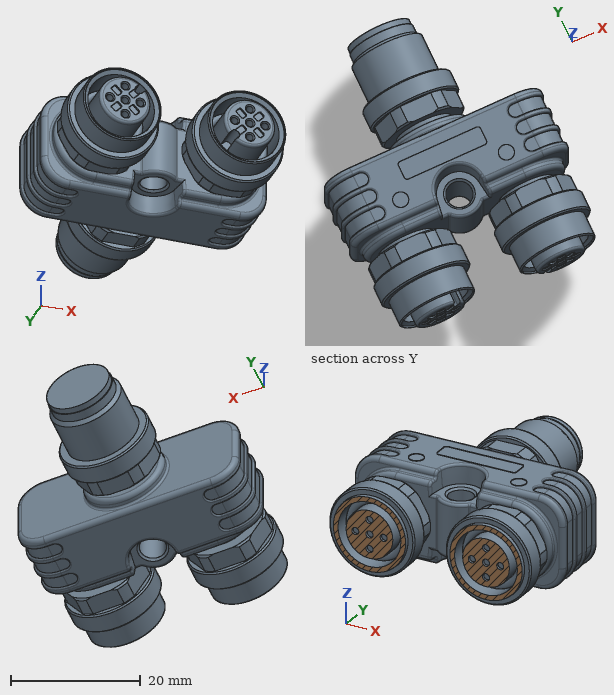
import cadquery as cq
import math


body_width = 37.0
body_height = 16.1
body_corner_radius = 4.5
body_back_y = 10.3
body_front_y = -0.8
body_edge_fillet = 0.85
body_top_z = body_height / 2
body_mid_y = (body_back_y + body_front_y) / 2

collar_diameter = 13.65
collar_height = 1.7
collar_edge_fillet = 0.8
collar_root_fillet = 0.35
collar_front_y = body_front_y - collar_height
collar_back_y = body_back_y + collar_height

groove_count = 3
groove_pitch = 3.0
groove_width = 2.15
groove_depth = 0.38
groove_middle_y = 4.7
groove_end_x = 12.0
groove_edge_fillet = 0.2

label_length = 14.0
label_width = 3.1
label_corner_radius = 0.5
label_y = 6.2
number_disc_diameter = 2.5
number_disc_x = 9.0
number_disc_y = 2.15
marking_depth = 0.1

hole_diameter = 4.2
hole_edge_chamfer = 0.35
boss_radius = 3.8
boss_height = 9.5
boss_root_fillet = 0.3
pocket_radius = 3.55
pocket_flare_angle = 8.0
pocket_draft_angle = 5.0
pocket_rim_fillet = 0.45

socket_x = 10.25
neck_diameter = 9.3
neck_length = 1.05
hex_sides = 6
hex_across_flats = 13.0
hex_corner_diameter = 14.0
hex_length = 3.05
hex_chamfer = 0.3
ring_diameter = 15.0
ring_length = 3.4
ring_chamfer = 0.25

sleeve_diameter = 12.0
sleeve_length = 6.95
sleeve_cone_length = 0.55
spigot_diameter = 10.8
spigot_length = 1.5
tip_diameter = 10.5
plug_end_y = 29.5

nut_diameter = 12.8
nut_length = 4.05
nut_edge_chamfer = 0.2
nut_mouth_diameter = 12.3
nut_mouth_depth = 0.3
nut_lead_in_length = 0.4
nut_bore_diameter = 10.95
nut_bore_depth = 6.0
insert_diameter = 8.3
insert_edge_fillet = 0.45
socket_end_y = -15.3

contact_count = 4
contact_circle_radius = 2.5
contact_diameter = 1.15
contact_mouth_diameter = 1.55
contact_depth = 5.0
relief_inner_radius = 1.25
relief_outer_radius = 2.85
relief_width = 1.1
relief_corner_radius = 0.25
relief_depth = 0.3
key_width = 1.4
key_inner_radius = 2.6
key_depth = 4.0
left_key_angle = 45
right_key_angle = left_key_angle + 180

tolerance = 0.01

plug_hex_y = collar_back_y + neck_length
plug_ring_y = plug_hex_y + hex_length
plug_sleeve_y = plug_ring_y + ring_length
plug_cone_y = plug_sleeve_y + sleeve_length
plug_spigot_y = plug_cone_y + sleeve_cone_length
plug_tip_y = plug_spigot_y + spigot_length
socket_hex_y = collar_front_y - neck_length
socket_ring_y = socket_hex_y - hex_length
socket_nut_y = socket_ring_y - ring_length
nut_end_y = socket_nut_y - nut_length
nut_floor_y = nut_end_y + nut_bore_depth


def xz_plane(x, y):
    """Workplane across the connector axis; positive extrusion runs toward -Y."""
    return cq.Workplane("XZ", origin=(x, y, 0))


def cylinder_y(diameter, y_from, y_to, x=0.0):
    """Cylinder along Y between two stations, y_from above y_to."""
    return xz_plane(x, y_from).circle(diameter / 2).extrude(y_from - y_to)


def rounded_block(inset):
    """Body block with its section shrunk by inset, before the end fillets."""
    return (
        xz_plane(0, body_back_y)
        .rect(body_width - 2 * inset, body_height - 2 * inset)
        .extrude(body_back_y - body_front_y)
        .edges("|Y")
        .fillet(body_corner_radius - inset)
    )


def make_groove_tool():
    """Round-ended slots wrapped around both ends of the body, down to the groove floor."""
    slot_length = body_width
    first_y = groove_middle_y - groove_pitch * (groove_count - 1) / 2
    centres = [
        (side * (groove_end_x + slot_length / 2), first_y + i * groove_pitch)
        for side in (-1, 1)
        for i in range(groove_count)
    ]
    slots = (
        cq.Workplane("XY")
        .pushPoints(centres)
        .slot2D(slot_length, groove_width)
        .extrude(body_height, both=True)
    )
    return slots.cut(rounded_block(groove_depth))


def is_groove_rim(edge):
    """True for edges between the grooves and the outer skin of the body."""
    grooved_half_width = groove_pitch * (groove_count - 1) / 2 + groove_width / 2
    start, middle, end = (edge.positionAt(t) for t in (0, 0.5, 1))
    in_grooved_band = abs(middle.y - groove_middle_y) < grooved_half_width + groove_edge_fillet / 2
    along_y = abs(abs(end.y - start.y) - edge.Length()) < groove_edge_fillet / 2
    on_skin = not rounded_block(groove_depth / 2).val().isInside(middle)
    return in_grooved_band and on_skin and not along_y


def make_collars():
    """Front collar around both sockets and back collar around the plug."""
    front_collar = (
        xz_plane(0, body_mid_y)
        .slot2D(2 * socket_x + collar_diameter, collar_diameter)
        .extrude(body_mid_y - collar_front_y)
    )
    back_collar = cylinder_y(collar_diameter, collar_back_y, body_mid_y)
    return front_collar.union(back_collar).faces("<Y or >Y").edges().fillet(collar_edge_fillet)


def is_collar_root(edge):
    """True for edges where a collar rises from an end face of the body."""
    middle = edge.positionAt(0.5)
    on_end_face = any(abs(middle.y - y) < tolerance for y in (body_front_y, body_back_y))
    inside_height = abs(middle.z) < body_top_z - body_edge_fillet - tolerance
    inside_width = abs(middle.x) < body_width / 2 - body_edge_fillet - tolerance
    return on_end_face and inside_height and inside_width


def make_body():
    """Block with grip grooves, rounded ends and blended collars."""
    body = rounded_block(0).cut(make_groove_tool())
    body = body.edges().filter(is_groove_rim).fillet(groove_edge_fillet)
    body = body.faces("<Y or >Y").edges().fillet(body_edge_fillet)
    body = body.union(make_collars())
    return body.edges().filter(is_collar_root).fillet(collar_root_fillet)


def make_pocket(side):
    """Arched, drafted screw-head pocket above or below the boss, open toward -Y."""
    flare = math.radians(pocket_flare_angle)
    tangent_x = pocket_radius * math.cos(flare)
    tangent_y = pocket_radius * math.sin(flare)
    mouth_y = -2 * boss_radius
    mouth_x = tangent_x + (tangent_y - mouth_y) * math.tan(flare)
    pocket = (
        cq.Workplane("XY")
        .moveTo(tangent_x, tangent_y)
        .threePointArc((0, pocket_radius), (-tangent_x, tangent_y))
        .lineTo(-mouth_x, mouth_y)
        .lineTo(mouth_x, mouth_y)
        .close()
        .extrude(body_height, taper=-pocket_draft_angle)
        .translate((0, 0, boss_height / 2))
    )
    return pocket if side > 0 else pocket.mirror("XY")


def is_boss_root(edge):
    """True for the vertical edges where the boss leaves the front collar."""
    middle = edge.positionAt(0.5)
    on_collar_face = abs(middle.y - collar_front_y) < tolerance
    return on_collar_face and abs(middle.z) < tolerance and abs(middle.x) < boss_radius


def is_pocket_rim(edge):
    """True for the convex edges of both pockets, including the boss rim."""
    start, middle, end = (edge.positionAt(t) for t in (0, 0.5, 1))
    floor_z = boss_height / 2
    reach = collar_diameter / 2
    near_pocket = abs(middle.x) < reach and abs(middle.y) < reach and abs(middle.z) > floor_z - tolerance
    touches_floor = min(abs(start.z), abs(end.z)) < floor_z + tolerance
    on_front = middle.y < collar_front_y + tolerance
    return near_pocket and (on_front or not touches_floor)


def is_hole_rim(edge):
    """True for both circular ends of the mounting hole."""
    return edge.geomType() == "CIRCLE" and abs(edge.radius() - hole_diameter / 2) < tolerance


def add_mounting(body):
    """Boss, screw-head pockets and the through hole."""
    boss = cq.Workplane("XY").circle(boss_radius).extrude(boss_height / 2, both=True)
    body = body.union(boss)
    for side in (-1, 1):
        body = body.cut(make_pocket(side))
    body = body.edges().filter(is_boss_root).fillet(boss_root_fillet)
    hole = cq.Workplane("XY").circle(hole_diameter / 2).extrude(body_height, both=True)
    body = body.edges().filter(is_pocket_rim).fillet(pocket_rim_fillet).cut(hole)
    return body.edges().filter(is_hole_rim).chamfer(hole_edge_chamfer)


def add_markings(body):
    """Label field and number discs, sunk slightly into the top face."""
    floor = cq.Workplane("XY").workplane(offset=body_top_z - marking_depth)
    label = (
        floor.center(0, label_y)
        .rect(label_length, label_width)
        .extrude(2 * marking_depth)
        .edges("|Z")
        .fillet(label_corner_radius)
    )
    disc_centres = [(-number_disc_x, number_disc_y), (number_disc_x, number_disc_y)]
    discs = floor.pushPoints(disc_centres).circle(number_disc_diameter / 2).extrude(2 * marking_depth)
    return body.cut(label).cut(discs)


def make_hex(y_from, y_to, chamfered_face, x=0.0):
    """Hexagon nut section with turned corners, chamfered at its neck end."""
    flats_up_angle = 30
    hexagon = (
        xz_plane(x, y_from)
        .polygon(hex_sides, hex_across_flats, circumscribed=True)
        .extrude(y_from - y_to)
        .rotate((x, 0, 0), (x, 1, 0), flats_up_angle)
    )
    turned = (
        cylinder_y(hex_corner_diameter, y_from, y_to, x).faces(chamfered_face).edges().chamfer(hex_chamfer)
    )
    return hexagon.intersect(turned)


def make_ring(y_from, y_to, x=0.0):
    """Grip ring with both rims chamfered."""
    return cylinder_y(ring_diameter, y_from, y_to, x).edges().chamfer(ring_chamfer)


def make_plug():
    """Plug at +Y: neck, hexagon, grip ring and stepped sleeve."""
    sleeve = (
        cq.Workplane("XY")
        .moveTo(0, plug_ring_y)
        .lineTo(sleeve_diameter / 2, plug_ring_y)
        .lineTo(sleeve_diameter / 2, plug_cone_y)
        .lineTo(spigot_diameter / 2, plug_spigot_y)
        .lineTo(spigot_diameter / 2, plug_tip_y)
        .lineTo(tip_diameter / 2, plug_tip_y)
        .lineTo(tip_diameter / 2, plug_end_y)
        .lineTo(0, plug_end_y)
        .close()
        .revolve(360, (0, 0, 0), (0, 1, 0))
    )
    return (
        cylinder_y(neck_diameter, plug_ring_y, body_mid_y)
        .union(make_hex(plug_ring_y, plug_hex_y, "<Y"))
        .union(make_ring(plug_sleeve_y, plug_ring_y))
        .union(sleeve)
    )


def cut_insert_face(insert, x, key_angle):
    """Contact holes, diagonal reliefs and the keyway in the socket face."""
    face = xz_plane(x, socket_end_y)
    contacts = [(0, 0)]
    for i in range(contact_count):
        angle = 2 * math.pi * i / contact_count
        contacts.append((contact_circle_radius * math.cos(angle), contact_circle_radius * math.sin(angle)))
    contact_holes = face.pushPoints(contacts).circle(contact_diameter / 2).extrude(-contact_depth)
    mouth_depth = (contact_mouth_diameter - contact_diameter) / 2
    for px, pz in contacts:
        mouth = (
            face.center(px, pz)
            .circle(contact_mouth_diameter / 2)
            .workplane(offset=-mouth_depth)
            .circle(contact_diameter / 2)
            .loft()
        )
        insert = insert.cut(mouth)
    insert = insert.cut(contact_holes)

    axis_start = (x, 0, 0)
    axis_end = (x, 1, 0)
    relief = (
        face.center((relief_inner_radius + relief_outer_radius) / 2, 0)
        .rect(relief_outer_radius - relief_inner_radius, relief_width)
        .extrude(-relief_depth)
        .edges("|Y")
        .fillet(relief_corner_radius)
    )
    for i in range(contact_count):
        relief_angle = 360 / contact_count * (i + 0.5)
        insert = insert.cut(relief.rotate(axis_start, axis_end, relief_angle))

    keyway_length = insert_diameter
    keyway = (
        face.center(key_inner_radius + keyway_length / 2, 0)
        .slot2D(keyway_length, key_width)
        .extrude(-key_depth)
    )
    return insert.cut(keyway.rotate(axis_start, axis_end, -key_angle))


def make_socket(x, key_angle):
    """Socket at -Y: neck, hexagon, grip ring, hollow nut, seal and insert."""
    nut = cylinder_y(nut_diameter, socket_ring_y, nut_end_y, x).faces("<Y").edges().chamfer(nut_edge_chamfer)
    shell = (
        cylinder_y(neck_diameter, body_mid_y, socket_ring_y, x)
        .union(make_hex(socket_hex_y, socket_ring_y, ">Y", x))
        .union(make_ring(socket_ring_y, socket_nut_y, x))
        .union(nut)
    )
    lead_in_y = nut_end_y + nut_mouth_depth
    bore = (
        cq.Workplane("XY", origin=(x, 0, 0))
        .moveTo(0, nut_end_y)
        .lineTo(nut_mouth_diameter / 2, nut_end_y)
        .lineTo(nut_mouth_diameter / 2, lead_in_y)
        .lineTo(nut_bore_diameter / 2, lead_in_y + nut_lead_in_length)
        .lineTo(nut_bore_diameter / 2, nut_floor_y)
        .lineTo(0, nut_floor_y)
        .close()
        .revolve(360, (0, 0, 0), (0, 1, 0))
    )
    seal_radius = (nut_bore_diameter - insert_diameter) / 4
    seal_path_radius = (nut_bore_diameter + insert_diameter) / 4
    seal = (
        cq.Workplane("XY", origin=(x, 0, 0))
        .center(seal_path_radius, nut_floor_y)
        .circle(seal_radius)
        .revolve(360, (-seal_path_radius, 0, 0), (-seal_path_radius, 1, 0))
    )
    insert = (
        cylinder_y(insert_diameter, socket_ring_y, socket_end_y, x)
        .faces("<Y")
        .edges()
        .fillet(insert_edge_fillet)
    )
    return shell.cut(bore).union(seal).union(cut_insert_face(insert, x, key_angle))


result = add_markings(add_mounting(make_body()))
result = result.union(make_plug())
result = result.union(make_socket(-socket_x, left_key_angle))
result = result.union(make_socket(socket_x, right_key_angle))